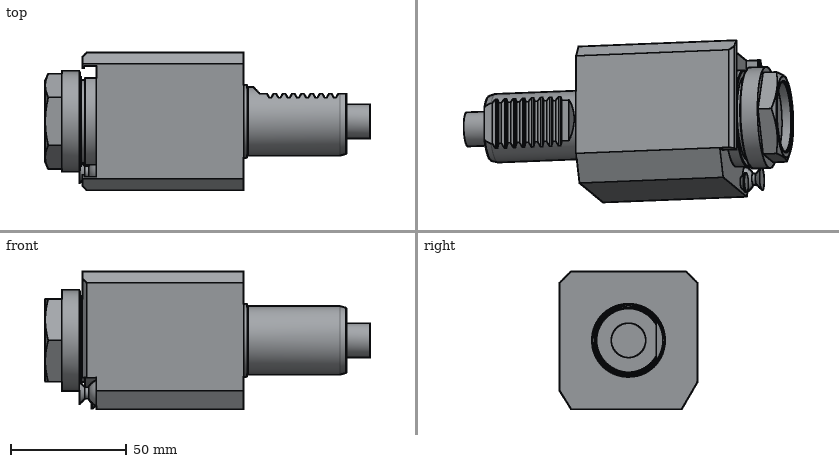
import cadquery as cq
import math


HEX_ACROSS_FLATS = 36.0
HEX_LENGTH = 7.3
HEX_FACE_RADIUS = 17.7
HEX_CORNER_CHAMFER = 1.4
COLLAR_RADIUS = 22.0
COLLAR_END = 15.3
COLLAR_BEVEL_LENGTH = 0.4
COLLAR_BEVEL_DEPTH = 0.8
SHOULDER_RADIUS = 19.5
SHOULDER_END = 15.7
NECK_RADIUS = 18.1
NUT_BORE_RADIUS = 15.1
NUT_BORE_DEPTH = 4.5
NUT_BORE_CHAMFER = 0.5

BLOCK_SIDE = 60.0
BLOCK_FRONT = 16.2
BLOCK_BACK = 86.3
HALF_SIDE = BLOCK_SIDE / 2
TOP_CHAMFER = 5.1
LEFT_CHAMFER_WIDTH = 6.9
LEFT_CHAMFER_HEIGHT = 11.9
RIGHT_CHAMFER_WIDTH = 5.1
RIGHT_CHAMFER_HEIGHT = 8.2
CHEEK_CHAMFER = 2.0

RECESS_FLOOR = 22.3
RECESS_HALF_WIDTH = 24.0
LIP_HALF_WIDTH = 23.2
LIP_THICKNESS = 0.8
LEFT_CHEEK_BOTTOM = LEFT_CHAMFER_HEIGHT - HALF_SIDE
RIGHT_CHEEK_BOTTOM = -16.2

BOSS_RADIUS = 20.9
BOSS_FLAT_Y = 19.0
BOSS_FRONT = 17.2
BOSS_CHAMFER = 0.3

NOZZLE_Y = -22.0
NOZZLE_Z = -22.9
BALL_RADIUS = 6.0
BALL_CENTRE_X = 24.3
NOZZLE_TIP_X = 15.0
NOZZLE_TIP_RADIUS = 5.0
NOZZLE_NECK_RADIUS = 2.5

SCREW_Y = -13.7
SCREW_Z = -25.7
SCREW_HEAD_RADIUS = 4.1
SCREW_FACE_X = 20.0
SCREW_RIM = 0.5

SEAL_RADIUS = 16.0
SEAL_END = 87.9
SEAL_EDGE_RADIUS = 15.7
SHANK_RADIUS = 15.0
SHANK_ROOT_CHAMFER = 0.4
SHANK_TAPER_START = 128.2
SHANK_END = 131.1
SHANK_END_RADIUS = 14.3
SHANK_END_CHAMFER = 0.4
DRIVE_RADIUS = 7.5
TOTAL_LENGTH = 141.3

FLAT_Y = 12.0
FLAT_START = 93.4
FLAT_RAMP_ANGLE = math.radians(45)
TOOTH_GAP_COUNT = 8
FIRST_TOOTH_GAP_X = 97.9
LAST_TOOTH_GAP_X = 126.0
TOOTH_PITCH = (LAST_TOOTH_GAP_X - FIRST_TOOTH_GAP_X) / (TOOTH_GAP_COUNT - 1)
TOOTH_DEPTH = 1.7
TOOTH_ROOT_WIDTH = 0.8
TOOTH_FLANK_ANGLE = math.radians(30)

MARGIN = 1.4


def cylinder(x_start, x_end, radius, y=0.0, z=0.0):
    plane = cq.Workplane("YZ", origin=(x_start, y, z))
    return plane.circle(radius).extrude(x_end - x_start)


def box(x_range, y_range, z_range):
    lows, highs = zip(x_range, y_range, z_range)
    size = [high - low for low, high in zip(lows, highs)]
    return cq.Workplane("XY").box(*size, centered=False).translate(lows)


def revolve_profile(points, y=0.0, z=0.0):
    """Turn a closed (x, radius) outline about an axis along X."""
    outline = cq.Workplane("XY").polyline(points).close()
    return outline.revolve(360, (0, 0), (1, 0)).translate((0, y, z))



def make_hex():
    corner_radius = HEX_ACROSS_FLATS / math.sqrt(3)
    prism = cq.Workplane("YZ").polygon(6, 2 * corner_radius).extrude(HEX_LENGTH)
    chamfer_limit = revolve_profile([
        (0, 0),
        (0, HEX_FACE_RADIUS),
        (HEX_CORNER_CHAMFER, corner_radius),
        (HEX_LENGTH, corner_radius),
        (HEX_LENGTH, 0),
    ])
    return prism.intersect(chamfer_limit)


def make_collet_nut():
    collar_and_neck = revolve_profile([
        (HEX_LENGTH, 0),
        (HEX_LENGTH, COLLAR_RADIUS),
        (COLLAR_END - COLLAR_BEVEL_LENGTH, COLLAR_RADIUS),
        (COLLAR_END, COLLAR_RADIUS - COLLAR_BEVEL_DEPTH),
        (COLLAR_END, SHOULDER_RADIUS),
        (SHOULDER_END, SHOULDER_RADIUS),
        (SHOULDER_END, NECK_RADIUS),
        (BOSS_FRONT, NECK_RADIUS),
        (BOSS_FRONT, 0),
    ])
    bore = revolve_profile([
        (0, 0),
        (0, NUT_BORE_RADIUS + NUT_BORE_CHAMFER),
        (NUT_BORE_CHAMFER, NUT_BORE_RADIUS),
        (NUT_BORE_DEPTH, NUT_BORE_RADIUS),
        (NUT_BORE_DEPTH, 0),
    ])
    return make_hex().union(collar_and_neck).cut(bore)



def make_block():
    outline = [
        (HALF_SIDE - TOP_CHAMFER, HALF_SIDE),
        (HALF_SIDE, HALF_SIDE - TOP_CHAMFER),
        (HALF_SIDE, LEFT_CHEEK_BOTTOM),
        (HALF_SIDE - LEFT_CHAMFER_WIDTH, -HALF_SIDE),
        (RIGHT_CHAMFER_WIDTH - HALF_SIDE, -HALF_SIDE),
        (-HALF_SIDE, RIGHT_CHAMFER_HEIGHT - HALF_SIDE),
        (-HALF_SIDE, HALF_SIDE - TOP_CHAMFER),
        (TOP_CHAMFER - HALF_SIDE, HALF_SIDE),
    ]
    front = cq.Workplane("YZ", origin=(BLOCK_FRONT, 0, 0))
    block = front.polyline(outline).close().extrude(BLOCK_BACK - BLOCK_FRONT)
    plan = (
        cq.Workplane("XY", origin=(0, 0, -HALF_SIDE))
        .polyline([
            (BLOCK_FRONT, HALF_SIDE - CHEEK_CHAMFER),
            (BLOCK_FRONT + CHEEK_CHAMFER, HALF_SIDE),
            (BLOCK_BACK, HALF_SIDE),
            (BLOCK_BACK, -HALF_SIDE),
            (BLOCK_FRONT + CHEEK_CHAMFER, -HALF_SIDE),
            (BLOCK_FRONT, CHEEK_CHAMFER - HALF_SIDE),
        ])
        .close()
        .extrude(BLOCK_SIDE)
    )
    return block.intersect(plan)


def make_recess():
    """Space between the cheeks, undercut behind their lips, and the space below each cheek."""
    outside = HALF_SIDE + MARGIN
    depth = (BLOCK_FRONT - MARGIN, RECESS_FLOOR)
    height = (-outside, outside)
    mouth = box(depth, (-LIP_HALF_WIDTH, LIP_HALF_WIDTH), height)
    undercut = box(
        (BLOCK_FRONT + LIP_THICKNESS, RECESS_FLOOR),
        (-RECESS_HALF_WIDTH, RECESS_HALF_WIDTH),
        height,
    )
    below_left = box(depth, (0, outside), (-outside, LEFT_CHEEK_BOTTOM))
    below_right = box(depth, (-outside, 0), (-outside, RIGHT_CHEEK_BOTTOM))
    return mouth.union(undercut).union(below_left).union(below_right)


def make_boss():
    boss = cylinder(BOSS_FRONT, RECESS_FLOOR, BOSS_RADIUS)
    between_flats = box(
        (BOSS_FRONT, RECESS_FLOOR),
        (-BOSS_FLAT_Y, BOSS_FLAT_Y),
        (-BOSS_RADIUS, BOSS_RADIUS),
    )
    return boss.intersect(between_flats).faces("<X").edges().chamfer(BOSS_CHAMFER)


def make_nozzle():
    flare_end = NOZZLE_TIP_X + NOZZLE_TIP_RADIUS - NOZZLE_NECK_RADIUS
    tip = revolve_profile(
        [
            (NOZZLE_TIP_X, 0),
            (NOZZLE_TIP_X, NOZZLE_TIP_RADIUS),
            (flare_end, NOZZLE_NECK_RADIUS),
            (BALL_CENTRE_X, NOZZLE_NECK_RADIUS),
            (BALL_CENTRE_X, 0),
        ],
        NOZZLE_Y,
        NOZZLE_Z,
    )
    ball = cq.Workplane("XY").sphere(BALL_RADIUS).translate((BALL_CENTRE_X, NOZZLE_Y, NOZZLE_Z))
    exposed = cylinder(NOZZLE_TIP_X, RECESS_FLOOR, BALL_RADIUS + MARGIN, NOZZLE_Y, NOZZLE_Z)
    return tip.union(ball).intersect(exposed)


def make_screw():
    cone_start = SCREW_FACE_X + SCREW_RIM
    cone_length = RECESS_FLOOR - cone_start
    return revolve_profile(
        [
            (SCREW_FACE_X, 0),
            (SCREW_FACE_X, SCREW_HEAD_RADIUS),
            (cone_start, SCREW_HEAD_RADIUS),
            (RECESS_FLOOR, SCREW_HEAD_RADIUS - cone_length),
            (RECESS_FLOOR, 0),
        ],
        SCREW_Y,
        SCREW_Z,
    )


def make_tooth_gap(centre_x):
    root_y = FLAT_Y - TOOTH_DEPTH
    mouth_y = FLAT_Y + MARGIN
    root_half = TOOTH_ROOT_WIDTH / 2
    mouth_half = root_half + (mouth_y - root_y) * math.tan(TOOTH_FLANK_ANGLE)
    return (
        cq.Workplane("XY")
        .polyline([
            (centre_x - mouth_half, mouth_y),
            (centre_x - root_half, root_y),
            (centre_x + root_half, root_y),
            (centre_x + mouth_half, mouth_y),
        ])
        .close()
        .extrude(SHANK_RADIUS, both=True)
    )


def make_shank_flat():
    top_y = SHANK_RADIUS + MARGIN
    ramp_length = (top_y - FLAT_Y) / math.tan(FLAT_RAMP_ANGLE)
    flat = (
        cq.Workplane("XY")
        .polyline([
            (FLAT_START - ramp_length, top_y),
            (FLAT_START, FLAT_Y),
            (SHANK_END, FLAT_Y),
            (SHANK_END, top_y),
        ])
        .close()
        .extrude(SHANK_RADIUS, both=True)
    )
    for index in range(TOOTH_GAP_COUNT):
        flat = flat.union(make_tooth_gap(FIRST_TOOTH_GAP_X + index * TOOTH_PITCH))
    return flat


def make_seal():
    seal_outline = (
        cq.Workplane("XY")
        .moveTo(BLOCK_BACK, 0)
        .lineTo(BLOCK_BACK, SEAL_EDGE_RADIUS)
        .threePointArc(((BLOCK_BACK + SEAL_END) / 2, SEAL_RADIUS), (SEAL_END, SEAL_EDGE_RADIUS))
        .lineTo(SEAL_END, 0)
        .close()
    )
    return seal_outline.revolve(360, (0, 0), (1, 0))


def make_shank():
    body = revolve_profile([
        (SEAL_END, 0),
        (SEAL_END, SHANK_RADIUS - SHANK_ROOT_CHAMFER),
        (SEAL_END + SHANK_ROOT_CHAMFER, SHANK_RADIUS),
        (SHANK_TAPER_START, SHANK_RADIUS),
        (SHANK_END - SHANK_END_CHAMFER, SHANK_END_RADIUS),
        (SHANK_END, SHANK_END_RADIUS - SHANK_END_CHAMFER),
        (SHANK_END, 0),
    ])
    drive = cylinder(SHANK_END, TOTAL_LENGTH, DRIVE_RADIUS)
    return body.cut(make_shank_flat()).union(make_seal()).union(drive)


def make_holder():
    holder = make_block().cut(make_recess())
    for feature in (make_boss(), make_nozzle(), make_screw(), make_shank()):
        holder = holder.union(feature)
    return holder


collet_nut = make_collet_nut()
holder = make_holder()

result = cq.Compound.makeCompound([holder.solids().val(), collet_nut.solids().val()])